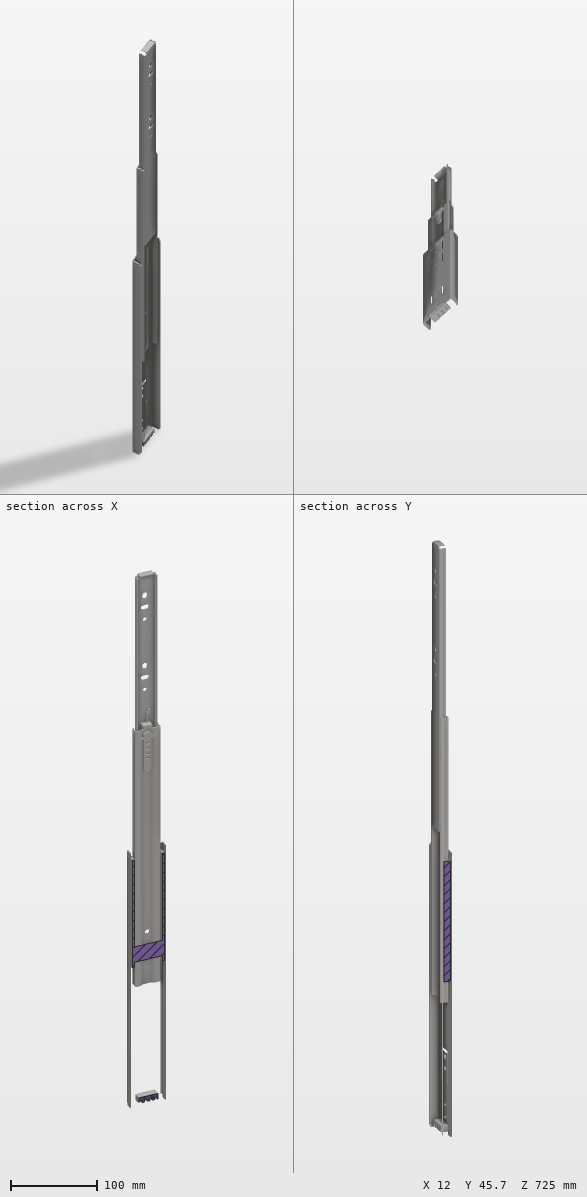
import cadquery as cq

SHEET = 1.15
BEND = 2.0
DEEP = 72.5

DEPTH = 12.0
OUTER_HALF = 22.85
OUTER_TOP = 350.0
LIP_REACH = 2.55
LIP_BEND = 1.1
LIP_SETBACK = 2.0
FOOT_LIP_CUT = 3.5
FOOT_NOTCH_HALF = 11.5
FOOT_NOTCH_TOP = 10.0
FOOT_NOTCH_FILLET = 2.0

MIDDLE_HALF = 16.3
MIDDLE_BACK = 2.0
MIDDLE_BOTTOM = 164.5
MIDDLE_TOP = 515.0
MIDDLE_BEND = 1.1
CHANNEL_DEPTH = 2.0
CHANNEL_FLOOR_HALF = 5.45
CHANNEL_MOUTH_HALF = 9.8
CURL = 2.0

INNER_HALF = 13.0
INNER_FREE_EDGE = 4.0
INNER_BOTTOM = 374.0
INNER_TOP = 725.0
END_TAB_HALF = 9.0
SHOULDER = 3.0

RACE_DEPTH = 1.1
RACE_WIDTH = 3.5
MIDDLE_RACE_X = 6.5
INNER_RACE_X = 7.0

SMALL_HOLE = 4.7
ROUND_HOLE = 6.0
SMALL_HOLES_OUTER = [19.0, 34.0, 188.0, 344.0]
ROUND_HOLES_OUTER = [78.0, 235.5, 252.0, 299.0]
SQUARE_HOLES_OUTER = [92.0, 315.5]
KEY_SLOTS_OUTER = [262.5, 325.5]
KEY_SLOT_WIDTH = 2.0
KEY_SLOT_LENGTH = 4.0
MIDDLE_HOLE_Z = 235.5

TONGUE_SLOTS = [(102.0, 60.0), (272.5, 222.5), (336.0, 287.0)]
TONGUE_SLOT_HALF = 9.8
TONGUE_LEG = 2.0
TONGUE_BAR = 4.0

DIMPLE_Y = 17.0
DIMPLE_Z = SMALL_HOLES_OUTER[-1]
DIMPLE_DIAMETER = 4.0
DIMPLE_DEPTH = 0.6

INNER_GROUPS = [693.0, 597.0]
UPRIGHT_SLOT_LENGTH = 8.0
CROSS_SLOT_LENGTH = 10.0
CROSS_SLOT_DROP = 16.0
SMALL_HOLE_DROP = 32.5

CLIP_BAR_HALF = 12.0
CLIP_BAR_BOTTOM = 501.0
CLIP_BAR_HEIGHT = 4.0
CLIP_BAR_DEPTH = 1.0
CLIP_STRIP_HALF = 4.7
CLIP_STRIP_BOTTOM = 455.0
CLIP_STRIP_DEPTH = 1.5
CLIP_GAPS = [473.5, 479.0, 486.5, 494.0]
CLIP_GAP_HEIGHT = 3.0
CLIP_GAP_HALF = 3.0

LEVER_DEPTH = 2.0
LEVER_BASE_DEPTH = 9.0
LEVER_BASE_HALF = 6.0
LEVER_BASE_BOTTOM = 515.5
LEVER_BASE_TOP = 520.0
LEVER_STEM_TOP = 533.5
LEVER_TOP = 536.5
LEVER_STEM = (-3.25, -1.1)
LEVER_HEAD = (-5.45, -3.0)
LEVER_HEAD_HEIGHT = 6.5

BUMPER_HALF = 12.0
BUMPER_BOTTOM = 4.0
BUMPER_TOP = 12.0
BUMPER_FRONT = 10.0
BUMPER_GROOVE_COUNT = 4
BUMPER_GROOVE_PITCH = 6.5
BUMPER_GROOVE_WIDTH = 2.0
BUMPER_GROOVE_HEIGHT = 3.0

CAGE_BOTTOM = 192.0
CAGE_TOP = 341.0
CAGE_BACK = 1.3
CAGE_FRONT = 10.0
CAGE_INSIDE = 17.5
CAGE_OUTSIDE = 20.65
CAGE_TIE_DEPTH = 1.0
CAGE_TIE_BOTTOM = 199.5
CAGE_TIE_TOP = 221.0


def block(x_range, y_range, z_range):
    """Box between the given limits."""
    (x0, x1), (y0, y1), (z0, z1) = x_range, y_range, z_range
    return cq.Workplane("XY").box(x1 - x0, y1 - y0, z1 - z0, centered=False).translate((x0, y0, z0))


def across(half):
    """Y limits of a feature centred on the slide."""
    return (-half, half)


def mirrored(solid):
    """The solid joined to its mirror image across Y = 0."""
    return solid.union(solid.mirror("XZ"))


def round_hole(z, diameter):
    """Cutter along X for a round hole through a web."""
    return cq.Workplane("YZ").center(0, z).circle(diameter / 2).extrude(DEEP)


def slot_hole(z, length, angle):
    """Cutter along X for a round-ended slot through a web; an angle of 90 stands upright."""
    return cq.Workplane("YZ").center(0, z).slot2D(length, ROUND_HOLE, angle).extrude(DEEP)


def race_arc(sketch, y, race_x, towards):
    """Ball race as an arc that starts at the current point; towards is +1 or -1 along X."""
    return sketch.threePointArc((race_x, y - RACE_DEPTH), (race_x + towards * RACE_WIDTH / 2, y))


def round_corner(solid, x, y, radius):
    """Fillet the one edge along Z that runs through the point (x, y)."""
    reach = SHEET / 4
    corner = cq.selectors.BoxSelector((x - reach, y - reach, 0), (x + reach, y + reach, INNER_TOP))
    return solid.edges("|Z").edges(corner).fillet(radius)


def outer_profile():
    """The plain outer channel with lips, before its holes and cut-outs."""
    wall = OUTER_HALF - SHEET
    lip_end = OUTER_HALF - LIP_REACH
    half = (
        cq.Workplane("XY").moveTo(0, 0).lineTo(0, OUTER_HALF).lineTo(DEPTH, OUTER_HALF)
        .lineTo(DEPTH, lip_end).lineTo(DEPTH - SHEET, lip_end).lineTo(DEPTH - SHEET, wall)
        .lineTo(SHEET, wall).lineTo(SHEET, 0).close().extrude(OUTER_TOP)
    )
    half = half.edges("|Z and >Y and <X").fillet(BEND)
    half = half.edges("|Z and >Y and >X").fillet(LIP_BEND)
    return mirrored(half)


def tongue_slot(top, bottom):
    """U-shaped cutter that frees a tongue of the web on three sides."""
    inside = TONGUE_SLOT_HALF - TONGUE_LEG
    frame = block((-SHEET, 2 * SHEET), across(TONGUE_SLOT_HALF), (bottom, top))
    tongue = block((-SHEET, 2 * SHEET), across(inside), (bottom, top - TONGUE_BAR))
    return frame.cut(tongue)


def make_outer_rail():
    rail = outer_profile()
    for z in SMALL_HOLES_OUTER:
        rail = rail.cut(round_hole(z, SMALL_HOLE))
    for z in ROUND_HOLES_OUTER:
        rail = rail.cut(round_hole(z, ROUND_HOLE))
    for z in SQUARE_HOLES_OUTER:
        half = ROUND_HOLE / 2
        rail = rail.cut(block((0, SHEET), across(half), (z, z + half)))
        rail = rail.cut(round_hole(z, ROUND_HOLE))
    for z in KEY_SLOTS_OUTER:
        half = KEY_SLOT_LENGTH / 2
        rail = rail.cut(block((0, SHEET), across(KEY_SLOT_WIDTH / 2), (z - half, z + half)))
    for top, bottom in TONGUE_SLOTS:
        rail = rail.cut(tongue_slot(top, bottom))
    for y in (-DIMPLE_Y, DIMPLE_Y):
        dimple = cq.Workplane("YZ").center(y, DIMPLE_Z).circle(DIMPLE_DIAMETER / 2).extrude(DIMPLE_DEPTH)
        rail = rail.cut(dimple)
    lip_zone = (DEPTH - BEND, DEPTH)
    rail = rail.cut(block(lip_zone, across(OUTER_HALF), (0, FOOT_LIP_CUT)))
    rail = rail.cut(block(lip_zone, across(OUTER_HALF), (OUTER_TOP - LIP_SETBACK, OUTER_TOP)))
    notch = block((0, SHEET), across(FOOT_NOTCH_HALF), (0, FOOT_NOTCH_TOP))
    return rail.cut(notch.edges("|X and >Z").fillet(FOOT_NOTCH_FILLET))


def make_middle_rail(clip_seat):
    back = MIDDLE_BACK
    floor = back + CHANNEL_DEPTH
    wall = MIDDLE_HALF - SHEET
    curl_end = MIDDLE_HALF - CURL
    race_start = MIDDLE_RACE_X - RACE_WIDTH / 2
    race_end = MIDDLE_RACE_X + RACE_WIDTH / 2
    sketch = cq.Workplane("XY").moveTo(floor, 0).lineTo(floor, CHANNEL_FLOOR_HALF)
    sketch = sketch.lineTo(back, CHANNEL_MOUTH_HALF).lineTo(back, MIDDLE_HALF)
    sketch = sketch.lineTo(race_start, MIDDLE_HALF)
    sketch = race_arc(sketch, MIDDLE_HALF, MIDDLE_RACE_X, 1)
    sketch = sketch.spline([(DEPTH, curl_end)], tangents=[(1, 0), (0, -1)], includeCurrent=True)
    sketch = sketch.lineTo(DEPTH - SHEET, curl_end)
    sketch = sketch.spline([(race_end, wall)], tangents=[(0, 1), (-1, 0)], includeCurrent=True)
    sketch = race_arc(sketch, wall, MIDDLE_RACE_X, -1)
    sketch = sketch.lineTo(back + SHEET, wall).lineTo(back + SHEET, CHANNEL_MOUTH_HALF)
    sketch = sketch.lineTo(floor + SHEET, CHANNEL_FLOOR_HALF).lineTo(floor + SHEET, 0)
    half = sketch.close().extrude(MIDDLE_TOP - MIDDLE_BOTTOM)
    half = round_corner(half, back, MIDDLE_HALF, MIDDLE_BEND)
    rail = mirrored(half.translate((0, 0, MIDDLE_BOTTOM)))
    rail = rail.cut(round_hole(MIDDLE_HOLE_Z, ROUND_HOLE))
    return rail.cut(clip_seat)


def make_inner_rail():
    wall = INNER_HALF - SHEET
    race_back = INNER_RACE_X - RACE_WIDTH / 2
    race_front = INNER_RACE_X + RACE_WIDTH / 2
    sketch = cq.Workplane("XY").moveTo(DEPTH, 0).lineTo(DEPTH, INNER_HALF).lineTo(race_front, INNER_HALF)
    sketch = race_arc(sketch, INNER_HALF, INNER_RACE_X, -1)
    sketch = sketch.lineTo(INNER_FREE_EDGE, INNER_HALF).lineTo(INNER_FREE_EDGE, wall).lineTo(race_back, wall)
    sketch = race_arc(sketch, wall, INNER_RACE_X, 1)
    sketch = sketch.lineTo(DEPTH - SHEET, wall).lineTo(DEPTH - SHEET, 0)
    half = sketch.close().extrude(INNER_TOP - INNER_BOTTOM)
    half = round_corner(half, DEPTH, INNER_HALF, BEND)
    half = round_corner(half, DEPTH - SHEET, wall, BEND - SHEET)
    rail = mirrored(half.translate((0, 0, INNER_BOTTOM)))
    for z in INNER_GROUPS:
        rail = rail.cut(slot_hole(z, UPRIGHT_SLOT_LENGTH, 90))
        rail = rail.cut(slot_hole(z - CROSS_SLOT_DROP, CROSS_SLOT_LENGTH, 0))
        rail = rail.cut(round_hole(z - SMALL_HOLE_DROP, SMALL_HOLE))
    shoulder = block((0, DEPTH), (END_TAB_HALF, INNER_HALF), (INNER_TOP - SHOULDER, INNER_TOP))
    end_tab = block((INNER_FREE_EDGE, DEPTH), across(END_TAB_HALF), (INNER_TOP - SHEET, INNER_TOP))
    return rail.cut(mirrored(shoulder)).union(end_tab)


def make_clip_blank():
    """The clip before its windows are cut; the same shape is its seat in the middle rail."""
    bar_top = CLIP_BAR_BOTTOM + CLIP_BAR_HEIGHT
    floor = MIDDLE_BACK + CHANNEL_DEPTH
    strip_back = floor - CLIP_STRIP_DEPTH
    bar_depth = (MIDDLE_BACK, MIDDLE_BACK + CLIP_BAR_DEPTH)
    bar = block(bar_depth, across(CLIP_BAR_HALF), (CLIP_BAR_BOTTOM, bar_top))
    pad = block((MIDDLE_BACK, floor), across(CHANNEL_FLOOR_HALF), (CLIP_BAR_BOTTOM, bar_top))
    dome = (
        cq.Workplane("YZ").center(0, bar_top).circle(CHANNEL_FLOOR_HALF)
        .extrude(CHANNEL_DEPTH).translate((MIDDLE_BACK, 0, 0))
    )
    straight_bottom = CLIP_STRIP_BOTTOM + CLIP_STRIP_HALF
    strip = block((strip_back, floor), across(CLIP_STRIP_HALF), (straight_bottom, bar_top))
    tip = (
        cq.Workplane("YZ").center(0, straight_bottom).circle(CLIP_STRIP_HALF)
        .extrude(CLIP_STRIP_DEPTH).translate((strip_back, 0, 0))
    )
    return bar.union(pad).union(dome).union(strip).union(tip)


def cut_clip_windows(clip):
    for z in CLIP_GAPS:
        window = block((0, DEPTH), across(CLIP_GAP_HALF), (z, z + CLIP_GAP_HEIGHT))
        clip = clip.cut(window)
    return clip


def make_lever():
    front = DEPTH - SHEET
    depth = (front - LEVER_DEPTH, front)
    base_depth = (front - LEVER_BASE_DEPTH, front)
    base = block(base_depth, across(LEVER_BASE_HALF), (LEVER_BASE_BOTTOM, LEVER_BASE_TOP))
    stem = block(depth, LEVER_STEM, (LEVER_BASE_BOTTOM, LEVER_STEM_TOP))
    head = block(depth, LEVER_HEAD, (LEVER_TOP - LEVER_HEAD_HEIGHT, LEVER_TOP))
    return base.union(stem).union(head)


def make_bumper():
    bumper = block((SHEET, BUMPER_FRONT), across(BUMPER_HALF), (BUMPER_BOTTOM, BUMPER_TOP))
    half = BUMPER_GROOVE_WIDTH / 2
    groove_top = BUMPER_BOTTOM + BUMPER_GROOVE_HEIGHT
    for index in range(BUMPER_GROOVE_COUNT):
        y = (index - (BUMPER_GROOVE_COUNT - 1) / 2) * BUMPER_GROOVE_PITCH
        bumper = bumper.cut(block((0, DEPTH), (y - half, y + half), (BUMPER_BOTTOM, groove_top)))
    return bumper


def make_cage():
    strip = block((CAGE_BACK, CAGE_FRONT), (CAGE_INSIDE, CAGE_OUTSIDE), (CAGE_BOTTOM, CAGE_TOP))
    tie = block(
        (CAGE_BACK, CAGE_BACK + CAGE_TIE_DEPTH), across(CAGE_OUTSIDE), (CAGE_TIE_BOTTOM, CAGE_TIE_TOP)
    )
    return mirrored(strip).union(tie)


clip_blank = make_clip_blank()
outer_rail = make_outer_rail()
middle_rail = make_middle_rail(clip_blank)
inner_rail = make_inner_rail()
clip = cut_clip_windows(clip_blank)
lever = make_lever()
bumper = make_bumper()
cage = make_cage()

bodies = [outer_rail, middle_rail, inner_rail, clip, lever, bumper, cage]
result = cq.Compound.makeCompound([body.val() for body in bodies])